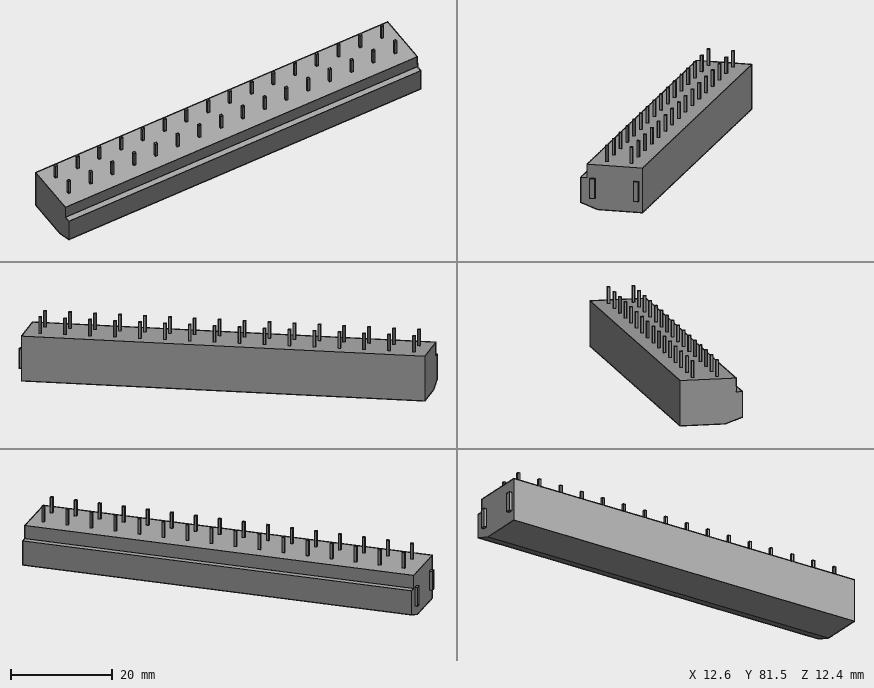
import cadquery as cq

total_width = 12.6
total_length = 81.5
total_height = 12.4

tab_depth = 0.6
body_length = total_length - tab_depth
body_height = 9.1
ledge_width = 1.3
ledge_drop = 2.8
bevel_width = 3.5
bevel_height = 1.2

pin_size = 0.5
pin_height = total_height - body_height
pins_per_row = 16
row_span = 75.0
pin_pitch = row_span / (pins_per_row - 1)
first_row_x = 3.1
row_spacing = pin_pitch
row_count = 2
first_pin_y = 2.8

tab_width = 1.0
tab_height = 4.0
tab_top = body_height - ledge_drop
tab_starts_x = (0.7, 9.6)


def make_housing():
    """Bar with a ledge along its upper +X edge and a bevel along the lower one."""
    ledge_z = body_height - ledge_drop
    profile = [
        (0, 0),
        (total_width - bevel_width, 0),
        (total_width, bevel_height),
        (total_width, ledge_z),
        (total_width - ledge_width, ledge_z),
        (total_width - ledge_width, body_height),
        (0, body_height),
    ]
    return cq.Workplane("XZ").polyline(profile).close().extrude(-body_length)


def make_pins():
    """All contact pins, standing on the top face."""
    centres = [
        (first_row_x + row * row_spacing, first_pin_y + index * pin_pitch)
        for row in range(row_count)
        for index in range(pins_per_row)
    ]
    top_face = cq.Workplane("XY").workplane(offset=body_height)
    return top_face.pushPoints(centres).rect(pin_size, pin_size).extrude(pin_height)


def make_tab(start_x):
    """One upright tab on the +Y end of the housing."""
    tab = cq.Workplane("XY").box(tab_width, tab_depth, tab_height, centered=False)
    return tab.translate((start_x, body_length, tab_top - tab_height))


result = make_housing().union(make_pins())
for tab_start_x in tab_starts_x:
    result = result.union(make_tab(tab_start_x))